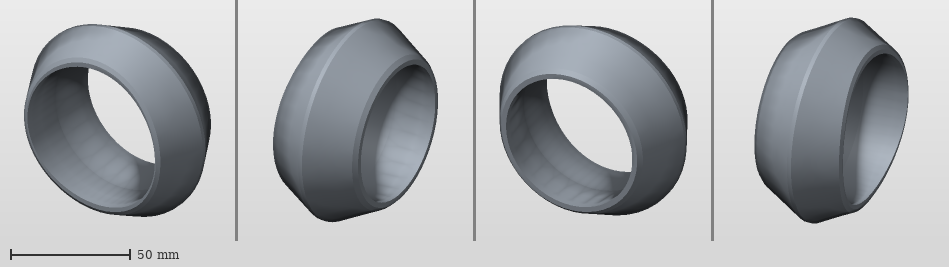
import cadquery as cq
import math

length = 41.15
rim_radius = 44.05
rim_width = 1.85
flat_end_radius = 32.3
flat_end_chamfer = 1.85
cone_start_radius = 34.1
cone_length = 18.6
saddle_cone_slope = 0.513

bore_radius = 32.5
bore_end_radius = 30.05
taper_length = 20.4

saddle_radius = 184.15
saddle_crown_depth = 38.15
saddle_bevel = 1.2

flat_end_y = length / 2
saddle_stock = 4.4
blank_end_y = flat_end_y - length - saddle_stock


def revolve_about_y(section):
    return section.close().revolve(360, (0, 0, 0), (0, 1, 0))


def make_body():
    chamfer_y = flat_end_y - flat_end_chamfer
    rim_back_y = chamfer_y - cone_length
    rim_front_y = rim_back_y - rim_width
    blank_end_radius = rim_radius - saddle_cone_slope * (rim_front_y - blank_end_y)
    section = (
        cq.Workplane("XY")
        .moveTo(0, flat_end_y)
        .lineTo(flat_end_radius, flat_end_y)
        .lineTo(cone_start_radius, chamfer_y)
        .lineTo(rim_radius, rim_back_y)
        .lineTo(rim_radius, rim_front_y)
        .lineTo(blank_end_radius, blank_end_y)
        .lineTo(0, blank_end_y)
    )
    return revolve_about_y(section)


def make_saddle_cutter():
    crown_y = flat_end_y - saddle_crown_depth
    arc_end_y = crown_y - saddle_radius + math.sqrt(saddle_radius**2 - rim_radius**2)
    stock_end_y = crown_y - rim_radius
    section = (
        cq.Workplane("XY")
        .moveTo(-rim_radius, arc_end_y)
        .threePointArc((0, crown_y), (rim_radius, arc_end_y))
        .lineTo(rim_radius, stock_end_y)
        .lineTo(-rim_radius, stock_end_y)
        .close()
    )
    return section.extrude(rim_radius, both=True)


def bevel_saddle_edge(body):
    saddle_face = body.faces("<Y").val()
    edges = saddle_face.Edges()
    beveled = body.val().chamfer(saddle_bevel, None, edges)
    return cq.Workplane("XY").newObject([beveled])


def make_bore():
    taper_end_y = flat_end_y - taper_length
    section = (
        cq.Workplane("XY")
        .moveTo(0, flat_end_y)
        .lineTo(bore_end_radius, flat_end_y)
        .lineTo(bore_radius, taper_end_y)
        .lineTo(bore_radius, blank_end_y)
        .lineTo(0, blank_end_y)
    )
    return revolve_about_y(section)


saddled_body = make_body().cut(make_saddle_cutter())
result = bevel_saddle_edge(saddled_body).cut(make_bore())